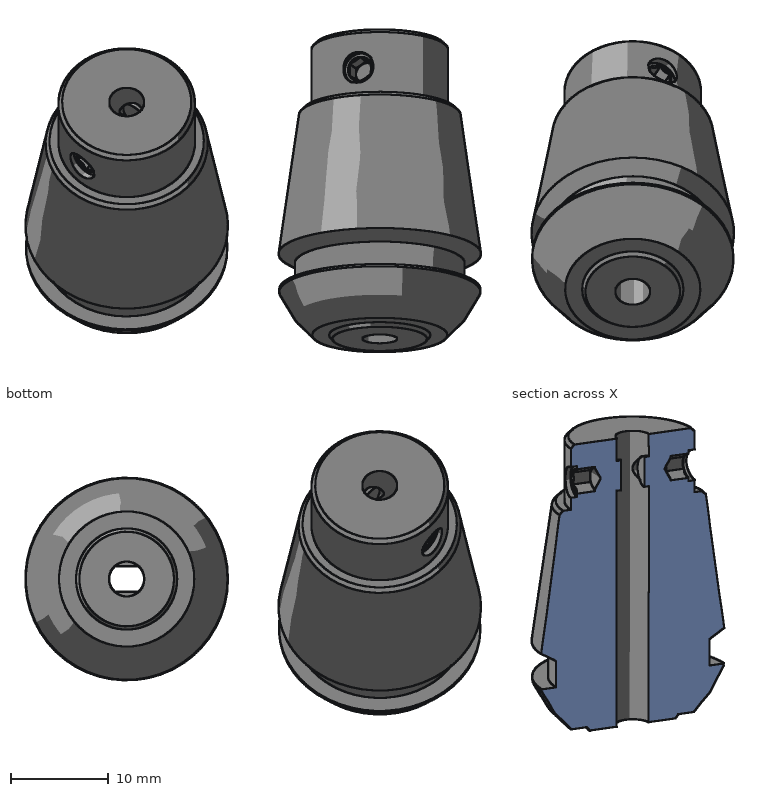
import cadquery as cq
import math

total_height = 31.0
nose_height = 0.4
base_break_height = 2.32
flange_bottom = 4.95
flange_top = 5.2
groove_top = 8.0
sleeve_bottom = 9.0
sleeve_top = 24.05

nose_bottom_diameter = 9.67
nose_top_diameter = 10.35
base_bottom_diameter = 13.83
base_break_diameter = 17.55
flange_diameter = 20.6
groove_diameter = 17.4
sleeve_bottom_diameter = 20.75
sleeve_top_diameter = 16.6
spigot_diameter = 14.0
bore_diameter = 3.55
edge_chamfer = 0.4

screw_diameter = 3.25
screw_length = 5.0
screw_tip_offset = 1.3
screw_height = 26.97
socket_width = 2.23
socket_depth = 2.0
socket_corner_diameter = socket_width / math.cos(math.pi / 6)
socket_drill_depth = socket_width / 2 * math.tan(math.pi / 6)


def body():
    """Turned body: base, groove, tapered sleeve and spigot."""
    diameters_and_heights = [
        (nose_bottom_diameter, 0),
        (nose_top_diameter, nose_height),
        (base_bottom_diameter, nose_height),
        (base_break_diameter, base_break_height),
        (flange_diameter, flange_bottom),
        (flange_diameter, flange_top),
        (groove_diameter, flange_top),
        (groove_diameter, groove_top),
        (sleeve_bottom_diameter, sleeve_bottom),
        (sleeve_top_diameter, sleeve_top - edge_chamfer),
        (sleeve_top_diameter - 2 * edge_chamfer, sleeve_top),
        (spigot_diameter, sleeve_top),
        (spigot_diameter, total_height - edge_chamfer),
        (spigot_diameter - 2 * edge_chamfer, total_height),
    ]
    outline = [(0, 0)]
    outline += [(diameter / 2, height) for diameter, height in diameters_and_heights]
    outline += [(0, total_height)]
    return cq.Workplane("XZ").polyline(outline).close().revolve(360, (0, 0), (0, 1))


def screw_plane(offset):
    """Plane across the front screw, facing -Y, at a distance from the bore axis."""
    return cq.Workplane("XZ", origin=(0, -offset, screw_height))


def front_screw_hole():
    return screw_plane(0).circle(screw_diameter / 2).extrude(spigot_diameter / 2)


def front_screw():
    """Set screw with a drilled hexagon socket and a conical lead-in."""
    face = screw_tip_offset + screw_length
    screw = screw_plane(screw_tip_offset).circle(screw_diameter / 2).extrude(screw_length)
    socket = (
        screw_plane(face)
        .transformed(rotate=(0, 0, 90))
        .polygon(6, socket_corner_diameter)
        .extrude(-socket_depth)
    )
    drill_point = cq.Solid.makeCone(
        socket_width / 2,
        0,
        socket_drill_depth,
        pnt=cq.Vector(0, socket_depth - face, screw_height),
        dir=cq.Vector(0, 1, 0),
    )
    lead_in = cq.Solid.makeCone(
        socket_corner_diameter / 2,
        0,
        socket_corner_diameter / 2,
        pnt=cq.Vector(0, -face, screw_height),
        dir=cq.Vector(0, 1, 0),
    )
    return screw.cut(socket).cut(cq.Workplane(drill_point)).cut(cq.Workplane(lead_in))


bore = cq.Workplane("XY").circle(bore_diameter / 2).extrude(total_height)
result = body().cut(bore)
for angle in (0, 180):
    hole = front_screw_hole().rotate((0, 0, 0), (0, 0, 1), angle)
    screw = front_screw().rotate((0, 0, 0), (0, 0, 1), angle)
    result = result.cut(hole).union(screw)